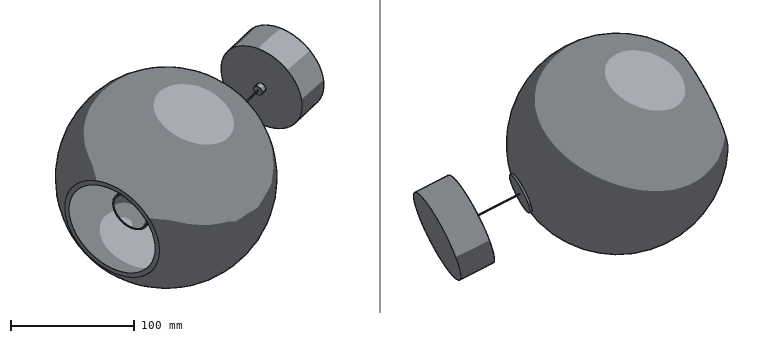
import cadquery as cq

total_length = 243.5

shade_diameter = 180.0
opening_outer_diameter = 93.5
opening_inner_diameter = 85.0

holder_diameter = 35.0
holder_wall = 1.2
holder_setback = 26.0
holder_back_projection = 0.2

canopy_diameter = 80.0
canopy_height = 31.2
grip_diameter = 8.5
grip_length = 5.0
cord_diameter = 1.0

shade_radius = shade_diameter / 2
front_y = -((shade_radius**2 - (opening_outer_diameter / 2) ** 2) ** 0.5)
cavity_radius = (front_y**2 + (opening_inner_diameter / 2) ** 2) ** 0.5
holder_front_y = front_y + holder_setback
holder_back_y = shade_radius + holder_back_projection
canopy_back_y = front_y + total_length
canopy_front_y = canopy_back_y - canopy_height
grip_front_y = canopy_front_y - grip_length
bowl_radius = holder_diameter / 2 - holder_wall


def rod(diameter, start_y, end_y):
    """Round bar on the lamp axis between two Y positions."""
    direction = cq.Vector(0, 1, 0)
    start = cq.Vector(0, start_y, 0)
    return cq.Workplane(cq.Solid.makeCylinder(diameter / 2, end_y - start_y, start, direction))


def hollow_shade():
    """Thin spherical shell, open and flat at the front, turned about the lamp axis."""
    profile = (
        cq.Workplane("XY")
        .moveTo(opening_inner_diameter / 2, front_y)
        .lineTo(opening_outer_diameter / 2, front_y)
        .threePointArc((shade_radius, 0), (0, shade_radius))
        .lineTo(0, cavity_radius)
        .threePointArc((cavity_radius, 0), (opening_inner_diameter / 2, front_y))
        .close()
    )
    return profile.revolve(360, (0, 0, 0), (0, 1, 0))


def lamp_holder():
    """Cylinder with a hemispherical bowl sunk into its front face."""
    body = rod(holder_diameter, holder_front_y, holder_back_y)
    bowl = cq.Workplane("XZ").sphere(bowl_radius).translate((0, holder_front_y, 0))
    return body.cut(bowl)


def suspension():
    """Canopy, cord grip and the cord that reaches the lamp holder."""
    canopy = rod(canopy_diameter, canopy_front_y, canopy_back_y)
    grip = rod(grip_diameter, grip_front_y, canopy_front_y)
    cord = rod(cord_diameter, holder_back_y, grip_front_y)
    return canopy.union(grip).union(cord)


result = hollow_shade().union(lamp_holder()).union(suspension())